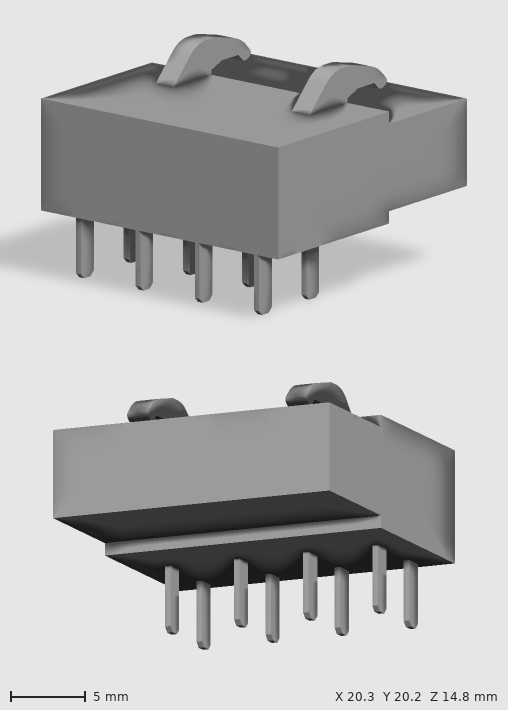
import cadquery as cq
import math

WIDTH = 20.32
DEPTH = 20.25
HEIGHT = 7.76
FRONT_DEPTH = 11.9
STEP = 0.85

HOOK_WIDTH = 1.55
HOOK_SPACING = 11.65
HOOK_HEIGHT = 2.52
HOOK_FOOT_Y = 7.85
RAMP_ANGLE = 45.5
RAMP_RADIUS = 2.28
CREST_END_Y = 12.17
CREST_RADIUS = 0.81
BACK_ANGLE = 13.0
BACK_LENGTH = 2.99
NOSE_RADIUS = 2.6
NOSE_ANGLE = 45.0
NOSE_LENGTH = 1.77
TIP_ANGLE = 28.0
TIP_LENGTH = 1.02
TIP_BACK_RADIUS = 0.3
TIP_FRONT_RADIUS = 0.5
UNDERCUT_HEIGHT = 0.77
UNDERCUT_FRONT_Y = 13.05
ROOT_HEIGHT = 0.35

PIN_COLUMNS = 4
PIN_ROWS = 2
PIN_PITCH = 5.08
PIN_THICKNESS = 0.4
PIN_WIDTH = 1.38
PIN_LENGTH = 4.5
PIN_CHAMFER = 0.35
FRONT_ROW_Y = 1.55


def step_from(point, length, angle):
    """Point at a distance from another in the YZ plane, at an angle in degrees from +Y."""
    return (
        point[0] + length * math.cos(math.radians(angle)),
        point[1] + length * math.sin(math.radians(angle)),
    )


def rounded_outline(corners):
    """Closed wire in the YZ plane through (point, radius) corners; radius 0 keeps a corner sharp."""
    outline = cq.Workplane("YZ").moveTo(*corners[0][0])
    for index in range(1, len(corners)):
        point, radius = corners[index]
        if radius == 0:
            outline = outline.lineTo(*point)
            continue
        corner = cq.Vector(*point)
        following_point = corners[(index + 1) % len(corners)][0]
        toward_last = (cq.Vector(*corners[index - 1][0]) - corner).normalized()
        toward_next = (cq.Vector(*following_point) - corner).normalized()
        half_angle = toward_last.getAngle(toward_next) / 2
        tangent_length = radius / math.tan(half_angle)
        start = corner + toward_last * tangent_length
        end = corner + toward_next * tangent_length
        bisector = (toward_last + toward_next).normalized()
        middle = corner + bisector * (radius / math.sin(half_angle) - radius)
        outline = outline.lineTo(start.x, start.y).threePointArc((middle.x, middle.y), (end.x, end.y))
    return outline.close()


def make_hook(center_x):
    """Hook that ramps up from its foot, arches back past the step and ends in a rounded tip."""
    ramp_top = (HOOK_FOOT_Y + HOOK_HEIGHT / math.tan(math.radians(RAMP_ANGLE)), HOOK_HEIGHT)
    crest_end = (CREST_END_Y, HOOK_HEIGHT)
    nose = step_from(crest_end, BACK_LENGTH, -BACK_ANGLE)
    tip_back = step_from(nose, NOSE_LENGTH, -NOSE_ANGLE)
    tip_front = step_from(tip_back, TIP_LENGTH, 180 + TIP_ANGLE)
    undercut_run = (UNDERCUT_HEIGHT - tip_front[1]) / math.tan(math.radians(NOSE_ANGLE))
    undercut_back = (tip_front[0] - undercut_run, UNDERCUT_HEIGHT)
    corners = [
        ((HOOK_FOOT_Y, 0), 0),
        (ramp_top, RAMP_RADIUS),
        (crest_end, CREST_RADIUS),
        (nose, NOSE_RADIUS),
        (tip_back, TIP_BACK_RADIUS),
        (tip_front, TIP_FRONT_RADIUS),
        (undercut_back, 0),
        ((UNDERCUT_FRONT_Y, UNDERCUT_HEIGHT), 0),
        ((FRONT_DEPTH, ROOT_HEIGHT), 0),
        ((FRONT_DEPTH, 0), 0),
    ]
    hook = rounded_outline(corners).extrude(HOOK_WIDTH / 2, both=True)
    return hook.translate((center_x, 0, HEIGHT))


def make_housing():
    """Stepped block with its two latch hooks."""
    front = cq.Workplane("XY").box(WIDTH, FRONT_DEPTH, HEIGHT, centered=(True, False, False))
    rear = (
        cq.Workplane("XY")
        .box(WIDTH, DEPTH - FRONT_DEPTH, HEIGHT - 2 * STEP, centered=(True, False, False))
        .translate((0, FRONT_DEPTH, STEP))
    )
    housing = front.union(rear)
    for side in (-1, 1):
        housing = housing.union(make_hook(side * HOOK_SPACING / 2))
    return housing


def make_pin(center_x, center_y):
    """Flat blade hanging from the housing bottom, with the corners of its lower end chamfered."""
    return (
        cq.Workplane("XY")
        .box(PIN_THICKNESS, PIN_WIDTH, PIN_LENGTH)
        .edges("|X and <Z")
        .chamfer(PIN_CHAMFER)
        .translate((center_x, center_y, -PIN_LENGTH / 2))
    )


housing = make_housing()

pins = []
for row in range(PIN_ROWS):
    for column in range(PIN_COLUMNS):
        pin_x = (column - (PIN_COLUMNS - 1) / 2) * PIN_PITCH
        pin_y = FRONT_ROW_Y + row * PIN_PITCH
        pins.append(make_pin(pin_x, pin_y).val())

result = cq.Compound.makeCompound([housing.val(), *pins])